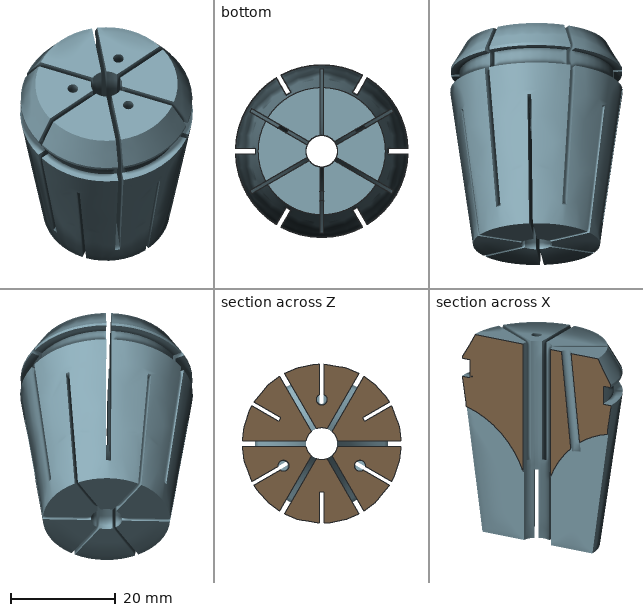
import cadquery as cq
import math

height = 40.0
body_diameter = 33.0
body_radius = body_diameter / 2
bore_radius = 3.0

taper_height = 31.0
taper_angle = 8.0
groove_radius = 14.75
groove_top = 34.55
rim_radius = 16.4
rim_top = 35.1
nose_angle = 30.0

slots_per_set = 6
slot_spacing = 360.0 / slots_per_set
nose_slot_width = 1.0
nose_slot_outer_end = 4.0
nose_slot_bore_end = 16.0
nose_slot_end_radius = 25.0
tail_slot_width = 0.7
tail_slot_outer_end = 24.95
tail_slot_bore_end = 13.85
tail_slot_end_radius = 18.0

coolant_hole_count = 3
coolant_hole_diameter = 2.0
coolant_circle_radius = 6.5
coolant_tilt = 6.0
coolant_hole_drop = 20.0
first_coolant_angle = 90.0
coolant_spacing = 360.0 / coolant_hole_count

clearance = 2.0


def taper_radius(z):
    """Radius of the long taper at height z."""
    return body_radius - (taper_height - z) * math.tan(math.radians(taper_angle))


def arc_midpoint(start, end, radius, side):
    """Middle of the shorter arc from start to end; side 1 bulges to the left of travel, -1 to the right."""
    dx = end[0] - start[0]
    dz = end[1] - start[1]
    chord = math.hypot(dx, dz)
    bulge = side * (radius - math.sqrt(radius**2 - (chord / 2) ** 2))
    middle_x = (start[0] + end[0]) / 2 - dz / chord * bulge
    middle_z = (start[1] + end[1]) / 2 + dx / chord * bulge
    return (middle_x, middle_z)


def make_body():
    """Turned collet blank with its bore."""
    nose_radius = rim_radius - (height - rim_top) * math.tan(math.radians(nose_angle))
    profile = [
        (bore_radius, 0),
        (taper_radius(0), 0),
        (body_radius, taper_height),
        (groove_radius, taper_height),
        (groove_radius, groove_top),
        (rim_radius, groove_top),
        (rim_radius, rim_top),
        (nose_radius, height),
        (bore_radius, height),
    ]
    return cq.Workplane("XZ").polyline(profile).close().revolve(360, (0, 0), (0, 1))


def make_slot(width, outer_z, bore_z, end_radius, open_z):
    """Radial slot along +X, open at open_z, whose closed end is the arc left by a round saw."""
    outer_point = (taper_radius(outer_z), outer_z)
    bore_point = (bore_radius, bore_z)
    bulge_side = -1 if open_z > outer_z else 1
    arc_middle = arc_midpoint(bore_point, outer_point, end_radius, bulge_side)
    outside = body_radius + clearance
    return (
        cq.Workplane("XZ")
        .moveTo(0, open_z)
        .lineTo(0, bore_z)
        .lineTo(*bore_point)
        .threePointArc(arc_middle, outer_point)
        .lineTo(outside, outer_z)
        .lineTo(outside, open_z)
        .close()
        .extrude(width / 2, both=True)
    )


def make_coolant_hole():
    """Tilted hole cutter, centred on the coolant circle on the +X side at the nose face."""
    slope = math.tan(math.radians(coolant_tilt))
    start = cq.Vector(coolant_circle_radius - clearance * slope, 0, height + clearance)
    direction = cq.Vector(slope, 0, -1)
    length = (coolant_hole_drop + clearance) / math.cos(math.radians(coolant_tilt))
    return cq.Workplane(cq.Solid.makeCylinder(coolant_hole_diameter / 2, length, start, direction))


def turned(cutter, angle):
    """Cutter turned about the collet axis."""
    return cutter.rotate((0, 0, 0), (0, 0, 1), angle)


nose_slot = make_slot(
    nose_slot_width, nose_slot_outer_end, nose_slot_bore_end, nose_slot_end_radius, height + clearance
)
tail_slot = make_slot(
    tail_slot_width, tail_slot_outer_end, tail_slot_bore_end, tail_slot_end_radius, -clearance
)
coolant_hole = make_coolant_hole()

result = make_body()
for index in range(coolant_hole_count):
    result = result.cut(turned(coolant_hole, first_coolant_angle + index * coolant_spacing))
for index in range(slots_per_set):
    result = result.cut(turned(nose_slot, index * slot_spacing))
    result = result.cut(turned(tail_slot, (index + 0.5) * slot_spacing))